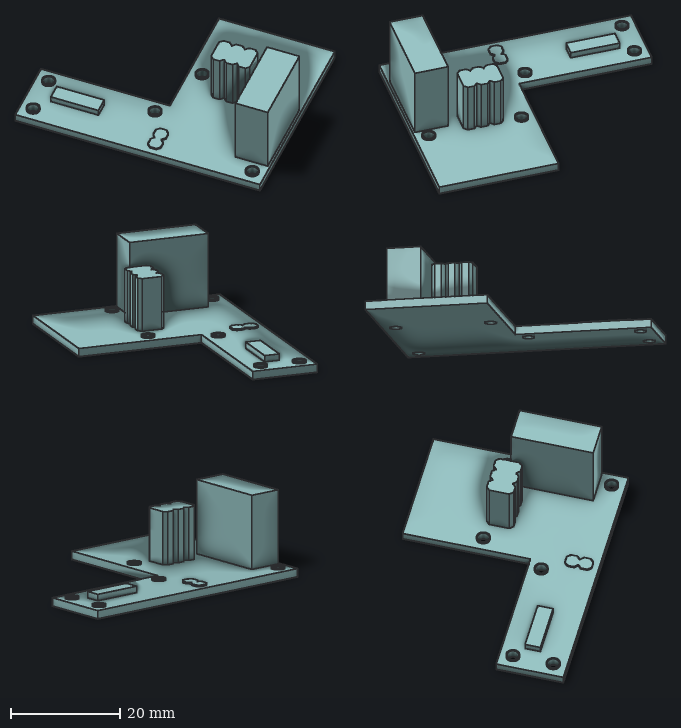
import cadquery as cq

board_length = 48.25
board_thickness = 1.6
grid = board_length / 19
board_width = 14.5 * grid
arm_width = 5 * grid
arm_length = 10 * grid

hole_diameter = 2.15
pad_diameter = 2.5
pad_height = 0.3
left_hole_x = grid
right_hole_x = board_length - grid
front_hole_y = grid
middle_hole_y = 4 * grid
back_hole_y = 8.75 * grid
hole_centers = [
    (left_hole_x, front_hole_y),
    (right_hole_x, front_hole_y),
    (left_hole_x, middle_hole_y),
    (9.25 * grid, middle_hole_y),
    (11 * grid, back_hole_y),
    (right_hole_x, back_hole_y),
]

corner_cut = grid / 4
tall_header_center = (35.2, 20.1)
tall_header_cells = 3
tall_header_height = 10.05
low_header_center = (10.5 * grid, 1.5 * grid)
low_header_cells = 2
low_header_height = pad_height

connector_corner = (41.45, 4.9)
connector_size = (6.35, 15.55, 14.0)
chip_corner = (4.85, 5.55)
chip_size = (9.35, 2.9, 1.2)


def make_board():
    """L-shaped plate resting on the XY plane."""
    outline = [
        (0, 0),
        (board_length, 0),
        (board_length, board_width),
        (arm_length, board_width),
        (arm_length, arm_width),
        (0, arm_width),
    ]
    return cq.Workplane("XY").polyline(outline).close().extrude(board_thickness)


def make_box(corner, size):
    """Rectangular component rooted in the bottom of the board."""
    length, width, height = size
    return (
        cq.Workplane("XY")
        .box(length, width, board_thickness + height, centered=False)
        .translate((corner[0], corner[1], 0))
    )


def make_cell(center, length, width, height):
    """One header cell: an upright block with its four vertical edges cut."""
    return (
        cq.Workplane("XY")
        .center(*center)
        .rect(length, width)
        .extrude(board_thickness + height)
        .edges("|Z")
        .chamfer(corner_cut)
    )


def row_offsets(count):
    """Positions of touching cells, centred on zero."""
    return [(i - (count - 1) / 2) * grid for i in range(count)]


result = make_board()
result = result.union(make_box(connector_corner, connector_size))
result = result.union(make_box(chip_corner, chip_size))

for offset in row_offsets(tall_header_cells):
    cell_center = (tall_header_center[0] + offset, tall_header_center[1])
    result = result.union(make_cell(cell_center, grid, 2 * grid, tall_header_height))

for offset in row_offsets(low_header_cells):
    cell_center = (low_header_center[0], low_header_center[1] + offset)
    result = result.union(make_cell(cell_center, grid, grid, low_header_height))

pads = (
    cq.Workplane("XY")
    .pushPoints(hole_centers)
    .circle(pad_diameter / 2)
    .extrude(board_thickness + pad_height)
)
holes = (
    cq.Workplane("XY")
    .pushPoints(hole_centers)
    .circle(hole_diameter / 2)
    .extrude(board_thickness + pad_height)
)
result = result.union(pads).cut(holes)